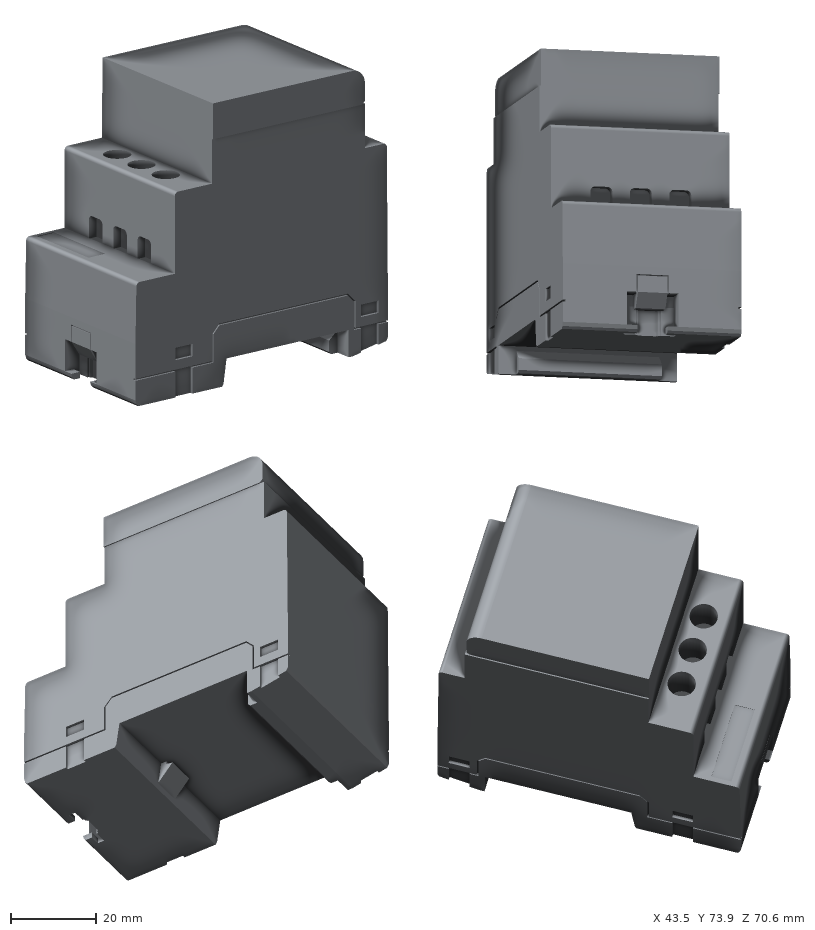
import cadquery as cq

width = 43.2
depth = 73.9
height = 70.6
half_width = width / 2
side_shift = 0.15
back = depth / 2
front = -depth / 2
overrun = 0.75

base_height = 6.7
draft_start = 15.5
draft_inset = 0.3
terminal_step = 30.6
shoulder = 50.7
cap_bottom = 61.7
terminal_wall = -25.4
tower_front = -14.5
tower_back = 30.3
step_radius = 0.95

cap_inset = 0.3
cap_radius = 3.7
cap_chamfer = 0.75

rear_foot_face = 25.5
rear_foot_outer = 2.65
rear_corner_inset = 0.45
rear_corner_drop = 0.8
rear_foot_flat = 26.75
front_foot_top = -10.3
front_foot_heel = -11.15
front_foot_heel_height = 0.7
front_foot_bottom = -11.6
front_foot_corner = 0.8
front_foot_corner_height = 1.55
front_facet_inset = 0.3
front_facet_height = 0.6

hook_tip = 23.0
hook_chamfer = 0.7
hook_shoulder = 3.5
hook_top = 5.6
hook_width = 34.6

side_depth = 0.75
seam_width = 0.45
seam_bottom = 6.4
seam_knee = 13.45
seam_top = 15.3
seam_back = 27.0
seam_front = -14.1
seam_slope = 1.7
recess_bottom = 9.25
recess_height = 3.0
rear_recess = (29.1, 34.2)
front_recess = (-25.3, -20.25)

terminal_pitch = 9.5
screw_diameter = 6.35
screw_mouth = 6.65
screw_depth = 8.9
screw_y = -19.15
wire_width = 5.3
wire_top = 36.3
wire_corner = 1.25
wire_depth = 2.2
wire_sill = 0.15

label_length = 20.25
label_width = 4.9
label_center = (-10.5, -31.9)
label_depth = 0.15

pocket_width = 12.4
pocket_top = 9.45
pocket_depth = 4.3
pocket_upper_extra = 0.45
lip_thickness = 2.5
lip_height = 1.55
lip_gap = 7.3
stem_slots = ((6.05, 4.7), (4.9, 5.0), (4.3, 5.25))
latch_width = 7.2
latch_groove = 0.3
latch_top = 13.4
latch_bottom = 6.0
latch_slope_depth = 2.2
latch_tip = -7.1
latch_tip_height = 5.6
latch_notch = -8.7
latch_notch_height = 5.9


def extrude_profile(points, x_start, x_end):
    """Closed Y-Z outline extruded along X between two places."""
    profile = cq.Workplane("YZ").polyline(points).close()
    return profile.extrude(x_end - x_start).translate((x_start, 0, 0))


def centered_profile(points, span):
    return extrude_profile(points, -span / 2, span / 2)


def block(x_range, y_range, z_range):
    lengths = [end - start for start, end in (x_range, y_range, z_range)]
    corner = (x_range[0], y_range[0], z_range[0])
    return cq.Workplane("XY").box(*lengths, centered=False).translate(corner)


def centered_block(span, y_range, z_range):
    return block((-span / 2, span / 2), y_range, z_range)


def make_body():
    """Stepped housing with the two rail feet, its upper front and rear edges rounded."""
    outline = [
        (front, front_foot_corner_height),
        (front, draft_start),
        (front + draft_inset, terminal_step),
        (terminal_wall, terminal_step),
        (terminal_wall, shoulder),
        (tower_front, shoulder),
        (tower_front, cap_bottom),
        (tower_back, cap_bottom),
        (tower_back, shoulder),
        (back - draft_inset, shoulder),
        (back, draft_start),
        (back, rear_foot_outer),
        (back - rear_corner_inset, rear_foot_outer - rear_corner_drop),
        (rear_foot_flat, 0),
        (rear_foot_face, 0),
        (rear_foot_face, base_height),
        (front_foot_top, base_height),
        (front_foot_heel, front_foot_heel_height),
        (front_foot_bottom, 0),
        (front + front_foot_corner, 0),
        (front + front_facet_inset, front_facet_height),
    ]
    body = centered_profile(outline, width)
    rounded_edges = (
        (front + draft_inset, terminal_step),
        (terminal_wall, shoulder),
        (back - draft_inset, shoulder),
    )
    for y, z in rounded_edges:
        body = body.edges(cq.selectors.NearestToPointSelector((0, y, z))).fillet(step_radius)
    return body


def make_cap():
    cap_back = tower_back - cap_inset
    cap = centered_block(width, (tower_front, cap_back), (cap_bottom, height))
    cap = cap.edges("|X and >Y and >Z").fillet(cap_radius)
    cap = cap.edges("|X and >Y and <Z").chamfer(cap_chamfer)
    return cap.translate((side_shift, 0, 0))


def make_hook():
    outline = [
        (rear_foot_face + overrun, 0),
        (hook_tip + hook_chamfer, 0),
        (hook_tip, hook_chamfer),
        (hook_tip, hook_shoulder),
        (rear_foot_face, hook_top),
        (rear_foot_face + overrun, hook_top),
    ]
    return centered_profile(outline, hook_width)


def make_latch_catch():
    """Sprung catch of the latch that reaches past the front foot."""
    outline = [
        (front_foot_bottom, front_foot_heel_height),
        (latch_tip, latch_tip_height),
        (latch_notch, latch_notch_height),
        (latch_notch, base_height + overrun),
        (front_foot_bottom, base_height + overrun),
    ]
    return centered_profile(outline, latch_width)


def make_side_cuts(x_start, x_end):
    """Seam, latching recesses and foot slots for one side wall."""
    high = seam_top + seam_width
    low = seam_bottom + seam_width
    outer_back = seam_back + seam_width
    outer_front = seam_front - seam_width
    seam = [
        (back + overrun, seam_bottom),
        (seam_back, seam_bottom),
        (seam_back, seam_knee),
        (seam_back - seam_slope, seam_top),
        (seam_front + seam_slope, seam_top),
        (seam_front, seam_knee),
        (seam_front, seam_bottom),
        (front - overrun, seam_bottom),
        (front - overrun, low),
        (outer_front, low),
        (outer_front, seam_knee),
        (seam_front + seam_slope, high),
        (seam_back - seam_slope, high),
        (outer_back, seam_knee),
        (outer_back, low),
        (back + overrun, low),
    ]
    cuts = extrude_profile(seam, x_start, x_end)
    for y_range in (rear_recess, front_recess):
        recess = block((x_start, x_end), y_range, (recess_bottom, recess_bottom + recess_height))
        slot = block((x_start, x_end), y_range, (-overrun, seam_bottom))
        cuts = cuts.union(recess).union(slot)
    return cuts


def make_terminal(x):
    """Screw hole in the shoulder and wire opening in the wall below it."""
    screw = (
        cq.Workplane("XY")
        .workplane(offset=shoulder - screw_depth)
        .center(x, screw_y)
        .circle(screw_diameter / 2)
        .workplane(offset=screw_depth)
        .circle(screw_mouth / 2)
        .loft()
    )
    wire = block(
        (x - wire_width / 2, x + wire_width / 2),
        (terminal_wall, terminal_wall + wire_depth),
        (terminal_step - wire_sill, wire_top),
    )
    return screw.union(wire.edges("|Y and >Z").fillet(wire_corner))


def make_label():
    label = cq.Workplane("XY").box(label_length, label_width, 2 * label_depth)
    return label.translate((*label_center, terminal_step))


def make_pocket():
    """Front pocket, leaving the lip at the bottom and the latch at the top."""
    outside = front - overrun
    wall = front + pocket_depth
    pocket = centered_block(pocket_width, (outside, wall), (-overrun, pocket_top))
    upper = centered_block(pocket_width, (outside, wall + pocket_upper_extra), (base_height, pocket_top))
    pocket = pocket.union(upper)
    for slot_width, slot_depth in stem_slots:
        slot = centered_block(slot_width, (outside, front + slot_depth), (-overrun, latch_bottom))
        pocket = pocket.union(slot)

    lip = centered_block(pocket_width, (outside, front + lip_thickness), (-overrun, lip_height))
    lip = lip.cut(centered_block(lip_gap, (outside, wall), (-overrun, lip_height)))

    window_width = latch_width + 2 * latch_groove
    window = centered_block(window_width, (outside, front + side_depth), (pocket_top, latch_top + latch_groove))

    latch_rear = wall + pocket_upper_extra
    latch = centered_profile(
        [
            (front, latch_top),
            (front, pocket_top),
            (front + latch_slope_depth, latch_bottom),
            (latch_rear, latch_bottom),
            (latch_rear, latch_top),
        ],
        latch_width,
    )
    return pocket.cut(lip).union(window).cut(latch)


housing = make_body().union(make_hook())
housing = housing.cut(make_side_cuts(-half_width - overrun, -half_width + side_depth))
housing = housing.cut(make_side_cuts(half_width - side_depth, half_width + overrun))
housing = housing.translate((-side_shift, 0, 0))

result = housing.union(make_cap()).union(make_latch_catch())
for position in (-1, 0, 1):
    result = result.cut(make_terminal(position * terminal_pitch))
result = result.cut(make_label()).cut(make_pocket())